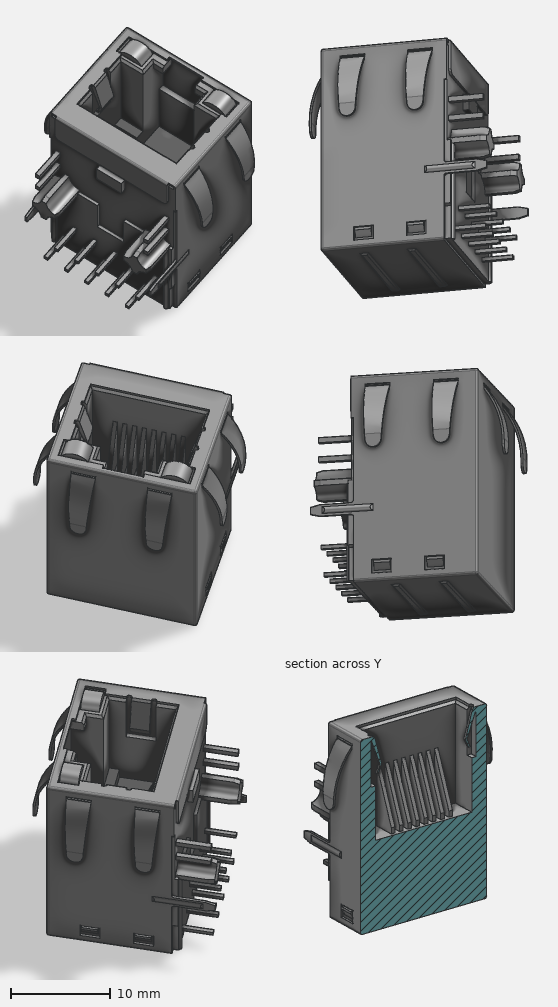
import cadquery as cq
import math


sheet = 0.27
half_width = 7.88
back_y = 13.2
top_z = 21.54
housing_top = top_z - sheet
housing_half_width = half_width - sheet
tail_half_width = 7.39
tail_top = 3.74
collar_bottom = 17.13

plate_height = 0.35
plate_top = 10.72
plate_notch_half_width = 1.62
plate_notch_bottom = 7.05
rib_radius = 0.27
rib_x = 6.99
rib_top = 10.45

tongue_half_width = 7.0
tongue_bottom = 17.95
tongue_corner = 0.53
tongue_bend = 0.25
relief_height = 0.33
key_width = 3.12
key_bottom = 15.86
key_height = 1.7
key_reach = 0.62

cavity_half_width = 5.96
cavity_front = 2.71
cavity_back = 9.57
cavity_floor = 10.01
mouth_chamfer = 0.27
latch_half_width = 3.18
latch_front = 7.3
latch_back = 11.33
latch_floor = 8.9
shoulder_front = 8.52
shoulder_top = 11.12
throat_half_width = 2.0
stub_bottom = 20.15
undercut_floor = 15.4
undercut_step_y = 12.28
window_half_width = 6.9
window_back = 12.22
window_step_y = 10.08
window_notch_half_width = 2.14
window_notch_back = 12.62

finger_front = 5.27
finger_back = 7.3
finger_tip_x = 5.16
finger_bend_z = 18.18
finger_end_x = 5.6
finger_end_z = 17.25
finger_slot = 0.53
finger_slot_corner = 0.2
finger_slot_reach = 6.5
finger_recess_floor = 16.02
finger_root_bend = 0.2

contact_count = 8
contact_pitch = 1.02
contact_width = 0.45
contact_top = 16.69
contact_reach = 5.2
contact_tip_height = 0.67

lamp_x = 5.23
lamp_width = 2.91
lamp_front = 10.15
lamp_back = 12.1
lamp_top = 22.07
lamp_radius = 1.7

spring_reach = 2.0
spring_thickness = 0.22
spring_radius = 8.55
spring_top = 20.38
spring_gap_top = 20.58
spring_tangent_z = 14.82
spring_end = 13.45
spring_root_width = 2.58
spring_tip_width = 1.7
side_spring_y = (2.75, 9.85)
back_spring_x = 4.0

leg_z = 7.68
leg_width = 1.2
leg_tip_width = 0.71
leg_tip_y = -4.2
leg_taper_y = -3.23
leg_fillet = 0.31
bead_width = 0.71
bead_height = 0.11
bead_run_out = 0.27
bead_ends = (-2.98, 2.3)

post_x = 5.7
post_z = plate_top
post_half_size = 1.58
post_tip_half_width = 0.3
post_reach = 4.0
post_taper_length = 0.65
post_taper_inset = 0.18

pin_reach = 3.58
lamp_pin_size = 0.53
lamp_pin_x = 6.76
lamp_pin_z = (13.24, 15.25)
pin_width = 0.45
pin_height = 0.38
pin_pitch = 2.54
pin_count = 5
pin_row_shift = pin_pitch / 4
pin_rows = ((1.82, -pin_row_shift), (4.35, pin_row_shift))

catch_window_width = 2.05
catch_window_bottom = 0.8
catch_window_top = 2.22
catch_window_y = (2.14, 7.65)
catch_width = 1.71
catch_bottom = 1.11
catch_crest_z = 1.82
catch_top = 2.1
catch_height = 0.11
floor_bead_y = (4.18, 9.15)
floor_bead_length = 11.88
floor_bead_width = 0.93
floor_bead_height = 0.18
floor_bead_slope = 50


def box(x0, x1, y0, y1, z0, z1):
    """Block between the given limits."""
    return cq.Workplane("XY").box(x1 - x0, y1 - y0, z1 - z0, centered=False).translate((x0, y0, z0))


def wide_box(half, y0, y1, z0, z1):
    """Block centred on the middle plane."""
    return box(-half, half, y0, y1, z0, z1)


def both_sides(shape):
    """The shape together with its mirror image across the middle plane."""
    return shape.union(shape.mirror("YZ"))


def front_profile(points, y_near, y_far):
    """Closed outline in X and Z, extruded from y_near to y_far."""
    sketch = cq.Workplane("XZ", origin=(0, y_far, 0)).polyline(points).close()
    return sketch.extrude(y_far - y_near)


def make_body():
    shell = wide_box(half_width, 0, back_y, 0, top_z)
    shell = shell.edges("|Z and >Y").fillet(sheet)
    shell = shell.faces(">Z or <Z").edges("not <Y").fillet(sheet)
    body = shell.cut(wide_box(half_width, 0, sheet, 0, collar_bottom))

    shoulder_z = tail_top + housing_half_width - tail_half_width
    right = [
        (tail_half_width, sheet),
        (tail_half_width, tail_top),
        (housing_half_width, shoulder_z),
    ]

    def housing_front(top):
        half = right + [(housing_half_width, top)]
        return half + [(-x, z) for x, z in reversed(half)]

    body = body.union(front_profile(housing_front(collar_bottom), 0, 2 * sheet))
    plate = front_profile(housing_front(plate_top), -plate_height, 0)
    notch = wide_box(plate_notch_half_width, -plate_height, 0, plate_notch_bottom, plate_top)
    body = body.union(plate.cut(notch))

    rib = cq.Workplane("XY").circle(rib_radius).extrude(rib_top - sheet)
    return body.union(both_sides(rib.translate((rib_x, -plate_height, sheet))))


def make_tongue():
    tongue = wide_box(tongue_half_width, -sheet, sheet, tongue_bottom, top_z)
    tongue = tongue.edges("|Y and <Z").fillet(tongue_corner)
    return tongue.edges("|X and <Y and >Z").fillet(tongue_bend)


def make_bend_reliefs():
    relief = box(tongue_half_width, housing_half_width, 0, sheet, housing_top - relief_height, housing_top)
    return both_sides(relief)


def make_key():
    return wide_box(key_width / 2, -key_reach, sheet, key_bottom, key_bottom + key_height)


def make_cavity():
    chamfer_z = housing_top - mouth_chamfer

    def mouth(z, margin):
        right = [
            (cavity_half_width + margin, cavity_front - margin),
            (cavity_half_width + margin, cavity_back + margin),
            (latch_half_width + margin, cavity_back + margin),
            (latch_half_width + margin, latch_back + margin),
        ]
        outline = right + [(-x, y) for x, y in reversed(right)]
        return cq.Workplane("XY", origin=(0, 0, z)).polyline(outline).close()

    cavity = mouth(cavity_floor, 0).extrude(housing_top - cavity_floor)
    rims = [mouth(chamfer_z, 0).val(), mouth(housing_top, mouth_chamfer).val()]
    cavity = cavity.union(cq.Workplane(cq.Solid.makeLoft(rims, True)))

    shoulder = box(
        latch_half_width, cavity_half_width,
        shoulder_front, cavity_back,
        cavity_floor, shoulder_top,
    )
    cavity = cavity.cut(both_sides(shoulder))

    shield_back = back_y - sheet
    cavity = cavity.union(wide_box(latch_half_width, latch_front, undercut_step_y, latch_floor, stub_bottom))
    cavity = cavity.union(wide_box(latch_half_width, latch_back, shield_back, undercut_floor, stub_bottom))
    return cavity.union(wide_box(throat_half_width, latch_back, shield_back, undercut_floor, housing_top))


def make_window():
    mouth_half = cavity_half_width + mouth_chamfer
    window = wide_box(mouth_half, cavity_front - mouth_chamfer, window_step_y, housing_top, top_z)
    window = window.union(wide_box(window_half_width, window_step_y, window_back, housing_top, top_z))
    notch = wide_box(window_notch_half_width, window_step_y, window_notch_back, housing_top, top_z)
    window = window.union(notch)
    for y0 in (finger_front - finger_slot, finger_back):
        slot = box(0, finger_slot_reach, y0, y0 + finger_slot, housing_top, top_z)
        slot = slot.edges("|Z and >X").fillet(finger_slot_corner)
        window = window.union(both_sides(slot))
    return window


def make_finger_recesses():
    """Pockets in the cavity walls that give the fingers room to bend."""
    recess = box(
        0, finger_slot_reach,
        finger_front - finger_slot, finger_back + finger_slot,
        finger_recess_floor, housing_top,
    )
    return both_sides(recess)


def make_fingers():
    root_x = cavity_half_width + mouth_chamfer
    points = [
        (root_x + sheet, top_z),
        (root_x, top_z),
        (root_x - finger_root_bend, housing_top),
        (finger_tip_x, finger_bend_z),
        (finger_end_x, finger_end_z),
        (finger_end_x + sheet, finger_end_z),
        (finger_tip_x + sheet, finger_bend_z),
        (root_x + sheet, housing_top - mouth_chamfer),
    ]
    return both_sides(front_profile(points, finger_front, finger_back))


def make_contacts():
    profile = [
        (cavity_front, contact_top),
        (contact_reach, cavity_floor + contact_tip_height),
        (contact_reach, cavity_floor),
        (cavity_front, cavity_floor),
    ]
    contacts = cq.Workplane("XY")
    for index in range(contact_count):
        x = (index - (contact_count - 1) / 2) * contact_pitch
        contact = cq.Workplane("YZ", origin=(x, 0, 0)).polyline(profile).close()
        contacts = contacts.union(contact.extrude(contact_width / 2, both=True))
    return contacts


def make_lamps():
    bottom = housing_top - sheet
    depth = lamp_back - lamp_front
    lens = cq.Workplane("XZ", origin=(lamp_x, lamp_back, lamp_top - lamp_radius))
    lens = lens.circle(lamp_radius).extrude(depth)
    limit_x = lamp_width / 2
    limits = box(lamp_x - limit_x, lamp_x + limit_x, lamp_front, lamp_back, bottom, lamp_top)
    return both_sides(lens.intersect(limits))


def make_spring():
    """One tab on a wall at X = 0, bowing out towards +X, centred on Y = 0."""
    centre_x = spring_reach - spring_radius
    inner_radius = spring_radius - spring_thickness
    rise = spring_top - spring_tangent_z

    def arc_point(radius, angle):
        return (centre_x + radius * math.cos(angle), spring_tangent_z + radius * math.sin(angle))

    outer_angle = math.asin(rise / spring_radius)
    inner_angle = math.asin(rise / inner_radius)
    side = cq.Workplane("XZ").moveTo(spring_reach, spring_end).lineTo(spring_reach, spring_tangent_z)
    side = side.threePointArc(
        arc_point(spring_radius, outer_angle / 2), arc_point(spring_radius, outer_angle)
    )
    side = side.lineTo(*arc_point(inner_radius, inner_angle))
    inner_reach = spring_reach - spring_thickness
    side = side.threePointArc(arc_point(inner_radius, inner_angle / 2), (inner_reach, spring_tangent_z))
    side = side.lineTo(inner_reach, spring_end).close()
    strip = side.extrude(spring_root_width / 2, both=True)

    root = spring_root_width / 2
    tip = spring_tip_width / 2
    face = cq.Workplane("YZ").moveTo(-root, spring_top).lineTo(root, spring_top)
    face = face.lineTo(tip, spring_end + tip).threePointArc((0, spring_end), (-tip, spring_end + tip)).close()
    return strip.intersect(face.extrude(spring_reach + 2 * sheet, both=True))


def make_spring_gap():
    """Slit in the wall above the root of a tab."""
    return box(-sheet, 0, -spring_root_width / 2, spring_root_width / 2, spring_top, spring_gap_top)


def on_walls(shape):
    """Copy a wall feature to all six tab places."""
    placed = cq.Workplane("XY")
    for y in side_spring_y:
        placed = placed.union(both_sides(shape.translate((half_width, y, 0))))
    turned = shape.rotate((0, 0, 0), (0, 0, 1), 90)
    return placed.union(both_sides(turned.translate((back_spring_x, back_y, 0))))


def make_legs():
    half = leg_width / 2
    tip = leg_tip_width / 2
    flare = half + leg_fillet
    root_y = 2 * sheet
    bend = leg_fillet * (1 - math.sqrt(0.5))
    leg = cq.Workplane("YZ", origin=(housing_half_width, 0, leg_z))
    leg = leg.moveTo(root_y, -flare).lineTo(sheet, -flare)
    leg = leg.threePointArc((sheet - bend, -half - bend), (sheet - leg_fillet, -half))
    leg = leg.lineTo(leg_taper_y, -half).lineTo(leg_tip_y, -tip)
    leg = leg.lineTo(leg_tip_y, tip).lineTo(leg_taper_y, half)
    leg = leg.lineTo(sheet - leg_fillet, half)
    leg = leg.threePointArc((sheet - bend, half + bend), (sheet, flare)).lineTo(root_y, flare).close()
    leg = leg.extrude(sheet)

    bead_start, bead_end = bead_ends
    crest_x = half_width + bead_height
    bead_outline = [
        (housing_half_width, bead_start),
        (half_width, bead_start),
        (crest_x, bead_start + bead_run_out),
        (crest_x, bead_end - bead_run_out),
        (half_width, bead_end),
        (housing_half_width, bead_end),
    ]
    bead = cq.Workplane("XY", origin=(0, 0, leg_z - bead_width / 2)).polyline(bead_outline).close()
    bead = bead.extrude(bead_width)
    crown_radius = (bead_width**2 / 4 + bead_height**2) / (2 * bead_height)
    crown = cq.Workplane("XZ", origin=(crest_x - crown_radius, bead_end, leg_z))
    bead = bead.intersect(crown.circle(crown_radius).extrude(bead_end - bead_start))
    return both_sides(leg.union(bead))


def make_posts():
    """Four-pointed posts: a square with a round hollow at each corner."""
    straight = post_reach - post_taper_length
    side = 2 * post_half_size
    hollow = post_half_size - post_tip_half_width
    post = cq.Workplane("XZ").rect(side, side).extrude(straight)
    tip_side = side - 2 * post_taper_inset
    tip = cq.Workplane("XZ", origin=(0, -straight, 0)).rect(side, side)
    tip = tip.workplane(offset=post_taper_length).rect(tip_side, tip_side).loft()
    hollows = cq.Workplane("XZ").rect(side, side, forConstruction=True).vertices().circle(hollow)
    post = post.union(tip).cut(hollows.extrude(post_reach))
    return both_sides(post.translate((post_x, 0, post_z)))


def make_pins():
    def pin(x, z, width, height):
        return box(x - width / 2, x + width / 2, -pin_reach, sheet, z - height / 2, z + height / 2)

    pins = cq.Workplane("XY")
    for z in lamp_pin_z:
        pins = pins.union(both_sides(pin(lamp_pin_x, z, lamp_pin_size, lamp_pin_size)))
    for z, shift in pin_rows:
        for index in range(pin_count):
            x = (index - (pin_count - 1) / 2) * pin_pitch + shift
            pins = pins.union(pin(x, z, pin_width, pin_height))
    return pins


def make_catch_windows():
    windows = cq.Workplane("XY")
    for y in catch_window_y:
        window = box(
            housing_half_width, half_width, y, y + catch_window_width, catch_window_bottom, catch_window_top
        )
        windows = windows.union(both_sides(window))
    return windows


def make_catches():
    crest_x = half_width + catch_height
    profile = [
        (housing_half_width - sheet, catch_bottom),
        (housing_half_width, catch_bottom),
        (crest_x, catch_crest_z),
        (crest_x, catch_top),
        (housing_half_width - sheet, catch_top),
    ]
    catches = cq.Workplane("XY")
    for y in catch_window_y:
        y_far = y + catch_window_width - catch_height
        catches = catches.union(both_sides(front_profile(profile, y_far - catch_width, y_far)))
    return catches


def make_floor_beads():
    beads = cq.Workplane("XY").workplane(invert=True)
    beads = beads.pushPoints([(0, -y) for y in floor_bead_y]).rect(floor_bead_length, floor_bead_width)
    return beads.extrude(floor_bead_height, taper=floor_bead_slope)


result = make_body().union(make_tongue()).union(make_key())
result = result.cut(make_bend_reliefs()).cut(make_cavity()).cut(make_window())
result = result.cut(make_finger_recesses())
result = result.cut(on_walls(make_spring_gap())).cut(make_catch_windows())
for feature in (
    make_fingers(), make_contacts(), make_lamps(), on_walls(make_spring()), make_legs(),
    make_posts(), make_pins(), make_catches(), make_floor_beads(),
):
    result = result.union(feature)